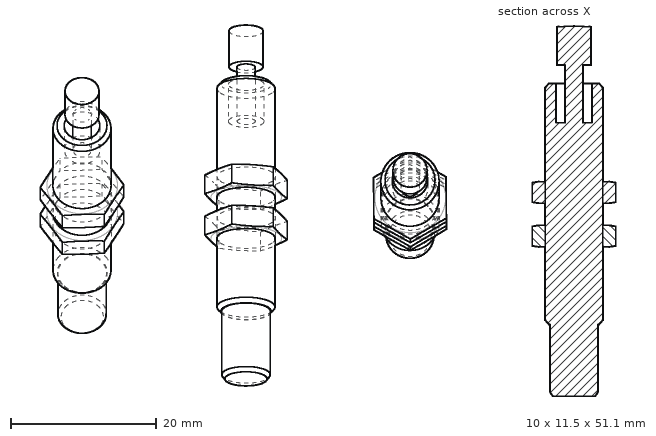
import cadquery as cq
import math

total_height = 51.1
barrel_bottom = 9.9
barrel_top = 43.2
head_bottom = 45.7

tail_diameter = 6.7
barrel_diameter = 8.0
barrel_end_diameter = 6.9
tail_end_diameter = 5.8
end_chamfer_height = 0.6

head_diameter = 4.7
rod_diameter = 2.5
crown_height = 0.1
head_length = total_height - head_bottom
bore_diameter = 4.9
bore_depth = head_length

nut_width = 10.0
nut_height = 3.0
nut_face_diameter = 9.75
nut_corner_drop = 0.15
nut_spacing = 2 * nut_height
lower_nut_bottom = 20.6
nut_count = 2
nut_corner_diameter = nut_width / math.cos(math.pi / 6)


def revolve_profile(points):
    """Turn a closed (radius, height) outline around the Z axis."""
    return cq.Workplane("XZ").polyline(points).close().revolve(360, (0, 0, 0), (0, 1, 0))


def make_absorber():
    """Bored barrel, narrower tail and plunger, joined at the bore floor."""
    bore_floor = barrel_top - bore_depth
    return revolve_profile([
        (0, 0),
        (tail_end_diameter / 2, 0),
        (tail_diameter / 2, end_chamfer_height),
        (tail_diameter / 2, barrel_bottom),
        (barrel_end_diameter / 2, barrel_bottom),
        (barrel_diameter / 2, barrel_bottom + end_chamfer_height),
        (barrel_diameter / 2, barrel_top - end_chamfer_height),
        (barrel_end_diameter / 2, barrel_top),
        (bore_diameter / 2, barrel_top),
        (bore_diameter / 2, bore_floor),
        (rod_diameter / 2, bore_floor),
        (rod_diameter / 2, head_bottom),
        (head_diameter / 2, head_bottom),
        (head_diameter / 2, total_height - crown_height),
        (0, total_height),
    ])


def make_nut(bottom):
    """Hexagonal nut around the barrel, with its corners chamfered on both faces."""
    hexagon = (
        cq.Workplane("XY")
        .polygon(6, nut_corner_diameter)
        .extrude(nut_height)
        .rotate((0, 0, 0), (0, 0, 1), 30)
    )
    corner_envelope = revolve_profile([
        (barrel_diameter / 2, 0),
        (nut_face_diameter / 2, 0),
        (nut_corner_diameter / 2, nut_corner_drop),
        (nut_corner_diameter / 2, nut_height - nut_corner_drop),
        (nut_face_diameter / 2, nut_height),
        (barrel_diameter / 2, nut_height),
    ])
    return hexagon.intersect(corner_envelope).translate((0, 0, bottom))


absorber = make_absorber()
nuts = [make_nut(lower_nut_bottom + i * nut_spacing) for i in range(nut_count)]

result = cq.Compound.makeCompound([absorber.val(), *[nut.val().Solids()[0] for nut in nuts]])